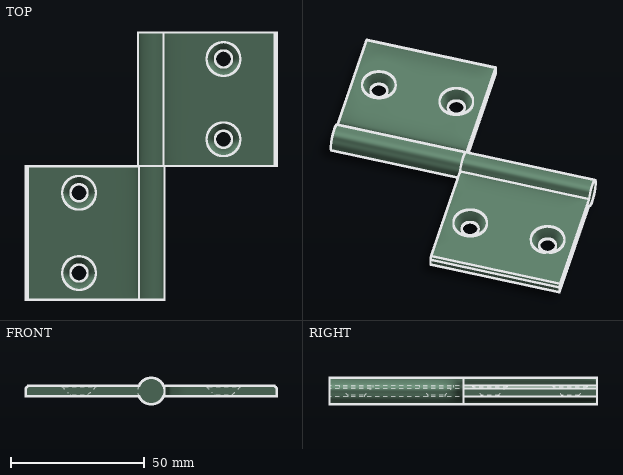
import cadquery as cq

HINGE_LENGTH = 100.0
HINGE_WIDTH = 94.0
KNUCKLE_DIAMETER = 10.0
LEAF_THICKNESS = 4.0
EDGE_CHAMFER = 1.0

HOLE_DIAMETER = 6.3
SINK_DIAMETER = 12.6
SINK_RIM_DEPTH = 0.4
SINK_ANGLE = 90.0
HOLE_OFFSET = 27.0
HOLE_SPACING = 30.0

leaf_length = HINGE_LENGTH / 2
leaf_reach = HINGE_WIDTH / 2
leaf_top = LEAF_THICKNESS / 2


def countersunk_holes(leaf):
    """Cut the two screw holes, each with a short straight rim above its cone."""
    hole_centres = [
        (HOLE_OFFSET, leaf_length / 2 - HOLE_SPACING / 2),
        (HOLE_OFFSET, leaf_length / 2 + HOLE_SPACING / 2),
    ]
    rims = (
        cq.Workplane("XY", origin=(0, 0, leaf_top))
        .pushPoints(hole_centres)
        .circle(SINK_DIAMETER / 2)
        .extrude(-SINK_RIM_DEPTH)
    )
    return (
        leaf.cut(rims)
        .copyWorkplane(cq.Workplane("XY", origin=(0, 0, leaf_top - SINK_RIM_DEPTH)))
        .pushPoints(hole_centres)
        .cskHole(HOLE_DIAMETER, SINK_DIAMETER, SINK_ANGLE)
    )


def hinge_leaf():
    """Leaf on the +X, +Y side: a plate joined to its solid round knuckle."""
    plate = (
        cq.Workplane("XY")
        .box(leaf_reach, leaf_length, LEAF_THICKNESS, centered=(False, False, True))
        .edges(">X and >Z")
        .chamfer(EDGE_CHAMFER)
    )
    knuckle = cq.Workplane("XZ").circle(KNUCKLE_DIAMETER / 2).extrude(-leaf_length)
    return countersunk_holes(plate.union(knuckle))


leaves = []
for turn in (0, 180):
    leaves.append(hinge_leaf().rotate((0, 0, 0), (0, 0, 1), turn).val())

result = cq.Compound.makeCompound(leaves)